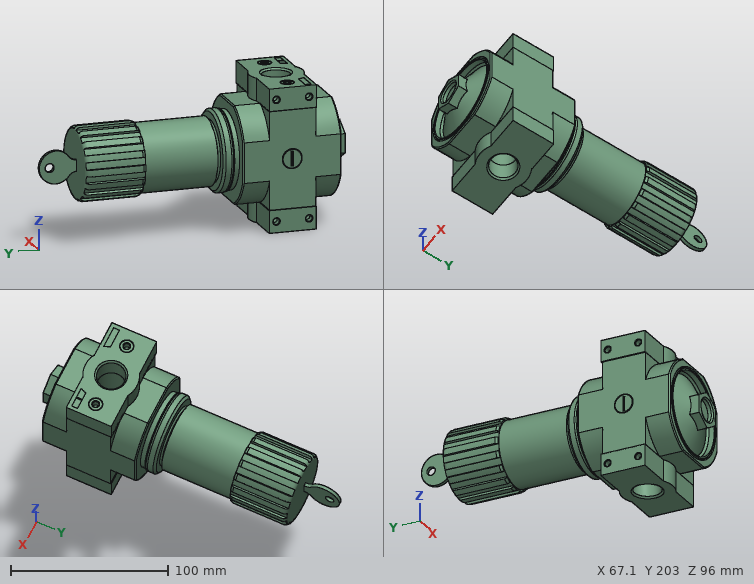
import cadquery as cq
import math


overall_height = 96.0
key_end = 160.2
plug_end = -42.8

body_half_width = 33.0
body_half_height = 32.9
body_half_length = 33.0
barrel_radius = 35.7
edge_chamfer = 0.8
cross_half_depth = 15.8
cross_rear = 15.2

port_diameter = 18.7
port_rim_diameter = 21.1

plate_left = -34.1
plate_half_depth = 15.8
boss_radius = 18.0
side_hole_diameter = 4.0
side_hole_rim = 5.0
side_hole_depth = 6.0
side_hole_offset = 11.0
drill_tip_height = 1.2

screw_offset = 23.0
screw_diameter = 8.5
screw_rim_diameter = 9.1

mark_depth = 0.2
mark_front = -13.2
mark_rear = -9.1
mark_slant = 1.6
left_mark_outer = -31.3
left_mark_inner = -16.5
right_mark_inner = 16.8
right_mark_outer = 30.7
mark_bar_center = 24.0
mark_bar_width = 0.8
mark_bar_length = 3.7

side_plug_diameter = 13.2
side_plug_depth = 4.0
side_plug_chamfer = 0.5
slot_width = 1.2
slot_length = 9.7
slot_depth = 1.2

cap_radius = 30.0
cap_chamfer = 0.6
cap_lip_radius = 28.5
cone_radius = 27.0
cap_wall_depth = 3.9
cone_depth = 5.3
cone_top = -37.0
cone_top_radius = 11.0
cap_thickness = 8.1
hex_flats = 22.1
hex_recess_rim = 17.0
hex_recess_diameter = 15.0
hex_countersink_depth = 1.0
hex_recess_depth = 3.5

spigot_radius = 26.2
spigot_end = 36.5
shoulder_radius = 26.8
shoulder_end = 37.4
ring_start = 38.5
ring_end = 44.0
ring_radius = 27.2
ring_chamfer = 1.6
flare_radius = 20.7
neck_start = 45.3
neck_radius = 19.5
sleeve_start = 46.5
sleeve_radius = 22.7

knob_start = 95.0
knob_end = 135.2
knob_radius = 24.5
knob_core_radius = 23.0
knob_chamfer_length = 1.8
knob_chamfer_drop = 0.8
knob_rear_fillet = 3.0
rib_count = 16
rib_width = 4.5

key_center_x = -3.0
key_thickness = 2.5
key_head_diameter = 22.0
key_hole_diameter = 5.9
key_hole_y = 153.3
key_shank_half_width = 3.9
key_fillet = 5.7

half_height = overall_height / 2
plate_thickness = half_height - body_half_height
plate_middle_z = body_half_height + plate_thickness / 2


def box_between(x, y, z):
    """Box from (low, high) pairs along each axis."""
    size = [high - low for low, high in (x, y, z)]
    return cq.Workplane("XY").box(*size, centered=False).translate((x[0], y[0], z[0]))


def revolve_about_y(points):
    """Solid of revolution about Y from (radius, y) points."""
    return cq.Workplane("XY").polyline(points).close().revolve(360, (0, 0, 0), (0, 1, 0))


def port_cutter():
    """The through port with a chamfer at each end."""
    radius = port_diameter / 2
    rim = port_rim_diameter / 2
    chamfer = rim - radius
    profile = [
        (0, -half_height),
        (rim, -half_height),
        (radius, -half_height + chamfer),
        (radius, half_height - chamfer),
        (rim, half_height),
        (0, half_height),
    ]
    return cq.Workplane("XZ").polyline(profile).close().revolve(360, (0, 0, 0), (0, 1, 0))


def dimple(depth):
    """Blind hole down from the XY plane with a chamfered rim and a conical bottom."""
    radius = side_hole_diameter / 2
    rim = side_hole_rim / 2
    profile = [
        (0, 0),
        (rim, 0),
        (radius, radius - rim),
        (radius, drill_tip_height - depth),
        (0, -depth),
    ]
    return cq.Workplane("XZ").polyline(profile).close().revolve(360, (0, 0, 0), (0, 1, 0))


def make_housing():
    """Flat-sided barrel crossed by a square block, bored for the port, cap and side plug."""
    flats = cq.Workplane("XY").box(2 * body_half_width, 2 * body_half_length, 2 * body_half_height)
    barrel = (
        cq.Workplane("XZ").circle(barrel_radius).extrude(body_half_length, both=True)
        .intersect(flats)
        .faces("<Y or >Y").chamfer(edge_chamfer)
    )
    block = box_between(
        (-body_half_width, body_half_width),
        (-cross_half_depth, cross_rear),
        (-body_half_height, body_half_height),
    )
    front = -body_half_length
    cap_seat = revolve_about_y([
        (0, front),
        (cap_radius + cap_chamfer, front),
        (cap_radius, front + cap_chamfer),
        (cap_radius, front + cap_thickness),
        (0, front + cap_thickness),
    ])
    plug_seat = (
        cq.Workplane("YZ", origin=(-body_half_width, 0, 0))
        .circle(side_plug_diameter / 2).extrude(side_plug_depth)
    )
    return barrel.union(block).cut(cap_seat).cut(plug_seat).cut(port_cutter())


def make_plain_plate():
    """Upper connection plate: rounded boss, port and two side holes."""
    plate = box_between(
        (plate_left, body_half_width),
        (-plate_half_depth, plate_half_depth),
        (body_half_height, half_height),
    )
    boss = (
        cq.Workplane("XY", origin=(0, 0, body_half_height))
        .circle(boss_radius).extrude(plate_thickness)
    )
    plate = plate.union(boss).cut(port_cutter())
    for y in (-side_hole_offset, side_hole_offset):
        hole = dimple(side_hole_depth).rotate((0, 0, 0), (0, 1, 0), -90)
        plate = plate.cut(hole.translate((plate_left, y, plate_middle_z)))
    return plate


def mark_cutter(outer_x, inner_x):
    """Shallow four-sided mark whose inner end is slanted."""
    slant = math.copysign(mark_slant, outer_x)
    outline = [
        (outer_x, mark_front),
        (inner_x, mark_front),
        (inner_x + slant, mark_rear),
        (outer_x, mark_rear),
    ]
    return (
        cq.Workplane("XY", origin=(0, 0, half_height))
        .polyline(outline).close().extrude(-mark_depth)
    )


def make_upper_plate():
    """Plate with two screw holes and the sunk marks."""
    plate = make_plain_plate()
    rim_chamfer = (screw_rim_diameter - screw_diameter) / 2
    for x in (-screw_offset, screw_offset):
        hole = (
            cq.Workplane("XY", origin=(x, 0, half_height))
            .circle(screw_diameter / 2).extrude(-plate_thickness)
        )
        rim = (
            cq.Workplane("XY", origin=(x, 0, half_height))
            .circle(screw_rim_diameter / 2).extrude(-rim_chamfer, taper=45)
        )
        plate = plate.cut(hole).cut(rim)
    bar = box_between(
        (mark_bar_center - mark_bar_width / 2, mark_bar_center + mark_bar_width / 2),
        (mark_rear - mark_bar_length, mark_rear),
        (half_height - mark_depth, half_height),
    )
    right_mark = mark_cutter(right_mark_outer, right_mark_inner).cut(bar)
    return plate.cut(mark_cutter(left_mark_outer, left_mark_inner)).cut(right_mark)


def make_screw(x):
    """Screw filling its plate hole, flush with the top, with a round blind hole in its head."""
    shank = (
        cq.Workplane("XY", origin=(x, 0, body_half_height))
        .circle(screw_diameter / 2).extrude(plate_thickness)
    )
    return shank.cut(dimple(side_hole_depth).translate((x, 0, half_height)))


def make_side_plug():
    """Slotted round plug, flush with the left side of the housing."""
    plug = (
        cq.Workplane("YZ", origin=(-body_half_width, 0, 0))
        .circle(side_plug_diameter / 2).extrude(side_plug_depth)
        .faces("<X").chamfer(side_plug_chamfer)
    )
    slot = (
        cq.Workplane("YZ", origin=(-body_half_width, 0, 0))
        .rect(slot_width, slot_length).extrude(slot_depth)
    )
    return plug.cut(slot)


def make_cap():
    """Front cap: sunken cone inside a lip, carrying a hexagon with a countersunk recess."""
    front = -body_half_length
    disc = revolve_about_y([
        (0, front + cap_thickness),
        (cap_radius, front + cap_thickness),
        (cap_radius, front + cap_chamfer),
        (cap_radius - cap_chamfer, front),
        (cap_lip_radius, front),
        (cap_lip_radius, front + cap_wall_depth),
        (cone_radius, front + cone_depth),
        (cone_top_radius, cone_top),
        (0, cone_top),
    ])
    hex_base = front + cone_depth
    hexagon = (
        cq.Workplane("XZ", origin=(0, hex_base, 0))
        .polygon(6, hex_flats / math.cos(math.pi / 6)).extrude(hex_base - plug_end)
        .rotate((0, 0, 0), (0, 1, 0), 30)
    )
    recess = revolve_about_y([
        (0, plug_end),
        (hex_recess_rim / 2, plug_end),
        (hex_recess_diameter / 2, plug_end + hex_countersink_depth),
        (hex_recess_diameter / 2, plug_end + hex_recess_depth),
        (0, plug_end + hex_recess_depth),
    ])
    return disc.union(hexagon).cut(recess)


def make_bonnet():
    """Stepped ring, narrow neck and long sleeve in one turned piece."""
    return revolve_about_y([
        (0, body_half_length),
        (spigot_radius, body_half_length),
        (spigot_radius, spigot_end),
        (shoulder_radius, spigot_end),
        (shoulder_radius, shoulder_end),
        (ring_radius, ring_start),
        (ring_radius, ring_end - ring_chamfer),
        (ring_radius - ring_chamfer, ring_end),
        (flare_radius, ring_end),
        (neck_radius, neck_start),
        (neck_radius, sleeve_start),
        (sleeve_radius, sleeve_start),
        (sleeve_radius, knob_start),
        (0, knob_start),
    ])


def make_knob():
    """Round core with straight ribs, the rib ends chamfered in front and rounded behind."""
    length = knob_end - knob_start
    envelope = (
        revolve_about_y([
            (0, knob_start),
            (knob_radius - knob_chamfer_drop, knob_start),
            (knob_radius, knob_start + knob_chamfer_length),
            (knob_radius, knob_end),
            (0, knob_end),
        ])
        .faces(">Y").edges().fillet(knob_rear_fillet)
    )
    core = cq.Workplane("XZ", origin=(0, knob_start, 0)).circle(knob_core_radius).extrude(-length)
    ribs = core
    for index in range(rib_count):
        rib = box_between(
            (-rib_width / 2, rib_width / 2),
            (knob_start, knob_end),
            (0, knob_radius),
        )
        ribs = ribs.union(rib.rotate((0, 0, 0), (0, 1, 0), index * 360 / rib_count))
    return ribs.intersect(envelope)


def make_key():
    """Flat key: round pierced head blended into a shank that meets the knob."""
    head_radius = key_head_diameter / 2
    head_y = key_end - head_radius
    left = key_center_x - key_thickness / 2
    workplane = cq.Workplane("YZ", origin=(left, 0, 0))
    head = workplane.center(head_y, 0).circle(head_radius).extrude(key_thickness)
    shank = box_between(
        (left, left + key_thickness),
        (knob_end, head_y),
        (-key_shank_half_width, key_shank_half_width),
    )
    hole = workplane.center(key_hole_y, 0).circle(key_hole_diameter / 2).extrude(key_thickness)
    neck_y = head_y - math.sqrt(head_radius**2 - key_shank_half_width**2)
    neck_corners = cq.selectors.BoxSelector(
        (left - 2, neck_y - 0.2, -head_radius), (left + key_thickness + 2, neck_y + 0.2, head_radius)
    )
    return head.union(shank).edges("|X").edges(neck_corners).fillet(key_fillet).cut(hole)


housing = make_housing()
upper_plate = make_upper_plate()
lower_plate = make_plain_plate().mirror("XY")
screws = [make_screw(x) for x in (-screw_offset, screw_offset)]
side_plug = make_side_plug()
cap = make_cap()
bonnet = make_bonnet()
knob = make_knob()
key = make_key()

result = cq.Compound.makeCompound([
    housing.val(),
    upper_plate.val(),
    lower_plate.val(),
    *[screw.val() for screw in screws],
    side_plug.val(),
    cap.val(),
    bonnet.val(),
    knob.val(),
    key.val(),
])